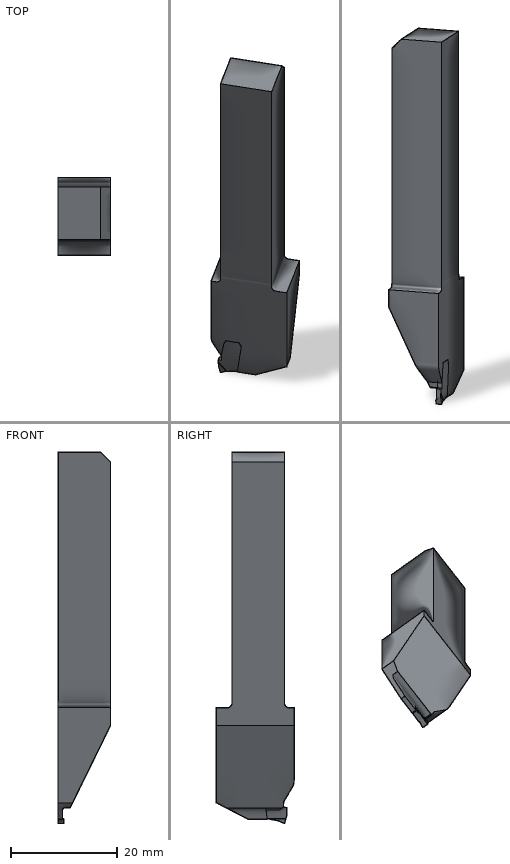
import cadquery as cq
import math

width = 9.95
shank_depth = 9.95
shank_front_y = 2.95
shank_back_y = shank_front_y + shank_depth
length = 70.0
end_chamfer = 1.9
shank_relief = 0.035
relief_start_z = 22.9
relief_end_z = 23.3

head_depth = 14.7
shoulder_z = 21.85
shoulder_radius = 0.85
head_bottom_z = 0.8
front_slope_top_z = 3.9
front_slope_end_y = 6.1
back_slope_top_z = 7.4
back_slope_radius = 2.8
taper_start_z = 18.5
taper_end_x = 2.3
step_z = 2.95
blade_thickness = 0.9
blade_radius = 0.4

insert_top_z = 7.9
insert_top_back = (11.8, insert_top_z)
insert_top_front = (9.3, insert_top_z)
insert_front_shoulder = (8.8, 7.1)
insert_back_shoulder = (12.2, 7.2)
insert_heel = (13.3, 3.0)
insert_bottom_corner = (9.6, 0.9)
insert_neck_top = (12.75, 4.1)
insert_neck_bottom = (12.7, 3.15)
nose = (12.9, 0.0)
flank = (13.3, 1.5)
edge_thickness = 1.1
edge_height = 1.0
edge_flare = 0.15
rake_depth = 0.15
rake_reach = 1.2
rake_upper = (13.2, 2.25)
rake_lower = (11.7, 0.5)


def shank_and_head_outline():
    """Extrude the YZ outline over the full width, with rounded shoulder corners."""
    body = (
        cq.Workplane("YZ")
        .polyline([
            (shank_front_y, length),
            (shank_back_y, length),
            (shank_back_y, shoulder_z),
            (head_depth, shoulder_z),
            (head_depth, back_slope_top_z),
            insert_neck_top,
            insert_neck_bottom,
            (insert_bottom_corner[0], head_bottom_z),
            (front_slope_end_y, head_bottom_z),
            (0, front_slope_top_z),
            (0, shoulder_z),
            (shank_front_y, shoulder_z),
        ])
        .close()
        .extrude(width)
    )
    for corner_y in (shank_front_y, shank_back_y):
        corner = cq.NearestToPointSelector((width / 2, corner_y, shoulder_z))
        body = body.edges("|X").edges(corner).fillet(shoulder_radius)
    slope_corner = cq.NearestToPointSelector((width / 2, head_depth, back_slope_top_z))
    return body.edges("|X").edges(slope_corner).fillet(back_slope_radius)


def side_envelope():
    """XZ profile: relieved shank, chamfered end, tapered head and thin blade."""
    profile = (
        cq.Workplane("XZ")
        .polyline([
            (0, 0),
            (0, relief_start_z),
            (shank_relief, relief_end_z),
            (shank_relief, length),
            (width - end_chamfer, length),
            (width, length - end_chamfer),
            (width, taper_start_z),
            (taper_end_x, step_z),
            (blade_thickness, step_z),
            (blade_thickness, 0),
        ])
        .close()
        .extrude(-head_depth)
    )
    corner = cq.NearestToPointSelector((blade_thickness, head_depth / 2, step_z))
    return profile.edges("|Y").edges(corner).fillet(blade_radius)


def insert_blank(thickness):
    """Insert outline in YZ, extruded from the -X face."""
    return (
        cq.Workplane("YZ")
        .polyline([
            insert_top_back,
            insert_top_front,
            insert_front_shoulder,
            insert_bottom_corner,
            rake_lower,
            nose,
            flank,
            insert_heel,
            insert_neck_bottom,
            insert_neck_top,
            insert_back_shoulder,
        ])
        .close()
        .extrude(thickness)
    )


def insert_envelope():
    """XZ profile of the insert, widening at the cutting edge."""
    return (
        cq.Workplane("XZ")
        .polyline([
            (0, 0),
            (0, insert_top_z),
            (blade_thickness, insert_top_z),
            (blade_thickness, edge_height),
            (edge_thickness, edge_height - edge_flare),
            (edge_thickness, 0),
        ])
        .close()
        .extrude(-head_depth)
    )


def rake_cutter():
    """Wedge for a chip-breaker: a step down at the rake edge, rising again toward the nose."""
    along_y = rake_upper[0] - rake_lower[0]
    along_z = rake_upper[1] - rake_lower[1]
    plane = cq.Plane(origin=(0, *rake_lower), xDir=(1, 0, 0), normal=(0, along_y, along_z))
    wedge = [(0, 0), (rake_depth, 0), (0, rake_reach)]
    rake_length = math.hypot(along_y, along_z)
    return cq.Workplane(plane).polyline(wedge).close().extrude(rake_length, both=True)


def make_holder():
    pocket = insert_blank(blade_thickness)
    return shank_and_head_outline().intersect(side_envelope()).cut(pocket)


def make_insert():
    return insert_blank(edge_thickness).intersect(insert_envelope()).cut(rake_cutter())


holder = make_holder()
insert = make_insert()
result = cq.Compound.makeCompound([holder.val(), insert.val()])